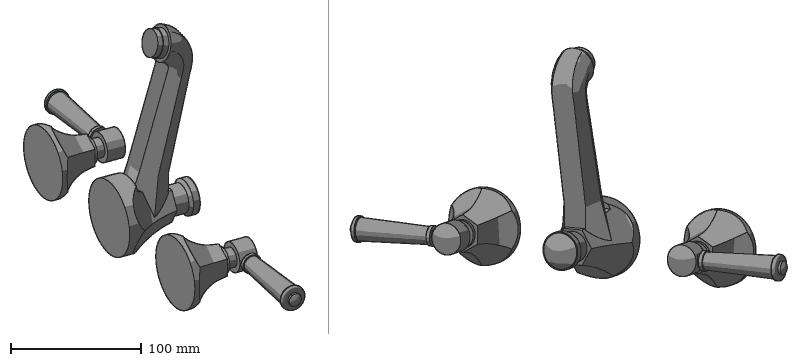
import cadquery as cq
import math


OVERALL_WIDTH = 375.56
OVERALL_REACH = 76.33
HANDLE_SPACING = 203.2

ESCUTCHEON_RADIUS = 30.1
FLARE_START = 8.0
FLARE_MIDDLE = 19.0
FLARE_END = 28.5
ESCUTCHEON_TOP = 38.7
FLARE_WALL_FLAT = 35.6
FLARE_START_FLAT = 24.6
FLARE_MIDDLE_FLAT = 17.6
FLARE_END_FLAT = 14.3
ESCUTCHEON_TOP_FLAT = 12.8

RING_RADIUS = 10.9
RING_TOP = 42.0
STEM_RADIUS = 8.0
HUB_BOTTOM = 50.0
HUB_TOP = 65.8
HUB_RADIUS = 12.4
HUB_DOME_RISE = 2.3

LEVER_TIP = (OVERALL_WIDTH - HANDLE_SPACING) / 2
LEVER_NECK_RADIUS = 5.2
LEVER_COLLAR_START = 14.5
LEVER_COLLAR_END = 17.6
LEVER_COLLAR_RADIUS = 8.0
GRIP_ROOT_RADIUS = 7.0
GRIP_END_RADIUS = 9.2
BEAD_START = 77.9
BEAD_WIDTH = 4.0
BEAD_RADIUS = 10.3
BEAD_ROUND = 1.4
BUTTON_RADIUS = 5.4
BUTTON_LENGTH = 2.0

BASE_RADIUS = 31.5
BASE_FLARE_START = 6.3
BASE_MIDDLE = 27.5
BASE_TOP = 51.0
BASE_FLARE_START_FLAT = 31.9
BASE_MIDDLE_FLAT = 20.2
BASE_TOP_FLAT = 13.8
SHELF_DEPTH = 16.8

KNOB_NECK_RADIUS = 12.2
KNOB_NECK_END = 63.5
KNOB_RIM_START = 66.0
KNOB_RIM_END = 72.0
KNOB_RADIUS = 15.0
KNOB_DOME_RADIUS = 14.2

ARM_LEAN = 15.1
ARM_BOTTOM_Y = 34.3
ARM_BOTTOM_Z = 34.6
ARM_LENGTH = 82.0
ARM_BOTTOM_HALF_WIDTH = 15.8
ARM_BOTTOM_HALF_DEPTH = 14.0
ARM_TOP_HALF_WIDTH = 14.2
ARM_TOP_HALF_DEPTH = 11.0
ARM_EDGE_X = 9.1
ARM_BULGE = 0.5
FOOT_Y = 27.2
FOOT_HALF_WIDTH = 22.0
FOOT_HALF_DEPTH = 20.5

ELBOW_LEAD = 5.9
ELBOW_BEND_RADIUS = 17.0
ELBOW_STEPS = 4
ELBOW_END_RADIUS = 14.9
NOZZLE_RADIUS = 12.0
NOZZLE_LENGTH = 5.0
AERATOR_RADIUS = 11.2
AERATOR_LENGTH = 4.6


def disc(radius, start, end):
    """Cylinder about the Y axis between two distances from the wall."""
    return cq.Workplane("XZ", origin=(0, start, 0)).circle(radius).extrude(start - end)


def flared_disc(prism, radius, height, angles):
    """Trim a disc with turned copies of a flared prism, each giving two opposite flats.

    Angle 0 gives flats facing +X and -X, and three angles 60 degrees apart give a hexagon.
    """
    flare = disc(radius, 0, height)
    for angle in angles:
        flare = flare.intersect(prism.rotate((0, 0, 0), (0, 1, 0), angle))
    return flare


def dome_height(radius, rise):
    """Height of a spherical dome halfway between its rim and its axis."""
    sphere_radius = (radius**2 + rise**2) / (2 * rise)
    return rise - sphere_radius + math.sqrt(sphere_radius**2 - (radius / 2) ** 2)


def handle_escutcheon():
    half_outline = (
        cq.Workplane("XY")
        .lineTo(FLARE_WALL_FLAT, 0)
        .lineTo(FLARE_START_FLAT, FLARE_START)
        .threePointArc((FLARE_MIDDLE_FLAT, FLARE_MIDDLE), (FLARE_END_FLAT, FLARE_END))
        .lineTo(ESCUTCHEON_TOP_FLAT, ESCUTCHEON_TOP)
        .lineTo(0, ESCUTCHEON_TOP)
    )
    prism = half_outline.mirrorY().extrude(2 * ESCUTCHEON_RADIUS, both=True)
    return flared_disc(prism, ESCUTCHEON_RADIUS, ESCUTCHEON_TOP, (0, 60, 120))


def handle_hub():
    dome_top = HUB_TOP + HUB_DOME_RISE
    dome_mid = (HUB_RADIUS / 2, HUB_TOP + dome_height(HUB_RADIUS, HUB_DOME_RISE))
    return (
        cq.Workplane("XY")
        .moveTo(0, FLARE_END)
        .lineTo(RING_RADIUS, FLARE_END)
        .lineTo(RING_RADIUS, RING_TOP)
        .lineTo(STEM_RADIUS, RING_TOP)
        .lineTo(STEM_RADIUS, HUB_BOTTOM)
        .lineTo(HUB_RADIUS, HUB_BOTTOM)
        .lineTo(HUB_RADIUS, HUB_TOP)
        .threePointArc(dome_mid, (0, dome_top))
        .close()
        .revolve(360, (0, 0, 0), (0, 1, 0))
    )


def lever():
    """Lever along +X from the hub, drawn as a half outline turned about its own axis."""
    bead_end = BEAD_START + BEAD_WIDTH
    button_start = bead_end + BUTTON_LENGTH
    button_rise = LEVER_TIP - button_start
    button_mid = (button_start + dome_height(BUTTON_RADIUS, button_rise), BUTTON_RADIUS / 2)
    solid = (
        cq.Workplane("XY")
        .lineTo(0, LEVER_NECK_RADIUS)
        .lineTo(LEVER_COLLAR_START, LEVER_NECK_RADIUS)
        .lineTo(LEVER_COLLAR_START, LEVER_COLLAR_RADIUS)
        .lineTo(LEVER_COLLAR_END, LEVER_COLLAR_RADIUS)
        .lineTo(LEVER_COLLAR_END, GRIP_ROOT_RADIUS)
        .lineTo(BEAD_START, GRIP_END_RADIUS)
        .lineTo(BEAD_START, BEAD_RADIUS - BEAD_ROUND / 2)
        .lineTo(BEAD_START + BEAD_ROUND / 2, BEAD_RADIUS)
        .lineTo(bead_end - BEAD_ROUND, BEAD_RADIUS)
        .radiusArc((bead_end, BEAD_RADIUS - BEAD_ROUND), BEAD_ROUND)
        .lineTo(bead_end, BUTTON_RADIUS)
        .lineTo(button_start, BUTTON_RADIUS)
        .threePointArc(button_mid, (LEVER_TIP, 0))
        .close()
        .revolve(360, (0, 0, 0), (1, 0, 0))
    )
    return solid.translate((0, (HUB_BOTTOM + HUB_TOP) / 2, 0))


def handle(side):
    """One handle; side is +1 for the lever pointing to +X and -1 for -X."""
    body = handle_escutcheon().union(handle_hub()).union(lever())
    if side < 0:
        body = body.mirror("YZ")
    return body.translate((side * HANDLE_SPACING / 2, 0, 0))


def spout_base():
    half_outline = (
        cq.Workplane("XY")
        .lineTo(BASE_FLARE_START_FLAT, 0)
        .lineTo(BASE_FLARE_START_FLAT, BASE_FLARE_START)
        .threePointArc((BASE_MIDDLE_FLAT, BASE_MIDDLE), (BASE_TOP_FLAT, BASE_TOP))
        .lineTo(0, BASE_TOP)
    )
    prism = half_outline.mirrorY().extrude(2 * BASE_RADIUS, both=True)
    shelf = cq.Workplane("XY").box(
        2 * BASE_RADIUS, SHELF_DEPTH, BASE_RADIUS, centered=(True, False, False)
    )
    flat_top_and_bottom = prism.rotate((0, 0, 0), (0, 1, 0), 90).union(shelf)
    return flared_disc(prism, BASE_RADIUS, BASE_TOP, (30, 150)).intersect(flat_top_and_bottom)


def spout_knob():
    dome_rise = OVERALL_REACH - KNOB_RIM_END
    dome_mid = (KNOB_DOME_RADIUS / 2, KNOB_RIM_END + dome_height(KNOB_DOME_RADIUS, dome_rise))
    return (
        cq.Workplane("XY")
        .moveTo(0, BASE_MIDDLE)
        .lineTo(KNOB_NECK_RADIUS, BASE_MIDDLE)
        .lineTo(KNOB_NECK_RADIUS, KNOB_NECK_END)
        .lineTo(KNOB_RADIUS, KNOB_RIM_START)
        .lineTo(KNOB_RADIUS, KNOB_RIM_END)
        .lineTo(KNOB_DOME_RADIUS, KNOB_RIM_END)
        .threePointArc(dome_mid, (0, OVERALL_REACH))
        .close()
        .revolve(360, (0, 0, 0), (0, 1, 0))
    )


def section_plane(y, z, lean):
    """Plane across the arm, its normal leaning from +Z towards +Y by `lean` degrees."""
    angle = math.radians(lean)
    normal = (0, math.sin(angle), math.cos(angle))
    return cq.Plane(origin=(0, y, z), xDir=(1, 0, 0), normal=normal)


def arm_section(plane, half_width, half_depth, edge_x, bulge):
    """Six-sided outline whose sides bow outwards by `bulge`."""
    edge_y = half_depth - bulge
    corners = [
        (half_width, 0),
        (edge_x, edge_y),
        (-edge_x, edge_y),
        (-half_width, 0),
        (-edge_x, -edge_y),
        (edge_x, -edge_y),
    ]
    outline = cq.Workplane(plane).moveTo(*corners[0])
    for start, end in zip(corners, corners[1:] + corners[:1]):
        middle = ((start[0] + end[0]) / 2, (start[1] + end[1]) / 2)
        stretch = 1 + bulge / math.hypot(*middle)
        outline = outline.threePointArc((middle[0] * stretch, middle[1] * stretch), end)
    return outline.close().val()


def along(point, lean, distance):
    """Point in the YZ plane moved along a direction leaning from +Z towards +Y."""
    angle = math.radians(lean)
    return (point[0] + distance * math.sin(angle), point[1] + distance * math.cos(angle))


def blend(start, end, fraction):
    return start + (end - start) * fraction


ARM_BOTTOM = (ARM_BOTTOM_Y, ARM_BOTTOM_Z)
ARM_TOP = along(ARM_BOTTOM, ARM_LEAN, ARM_LENGTH)
NOZZLE_LEAN = ARM_LEAN - 90
BEND_START = along(ARM_TOP, ARM_LEAN, ELBOW_LEAD)
BEND_CENTRE = along(BEND_START, NOZZLE_LEAN, ELBOW_BEND_RADIUS)
ELBOW_END = along(BEND_CENTRE, ARM_LEAN, ELBOW_BEND_RADIUS)


def top_section(point, lean, growth):
    """Elbow section: the arm's top outline at growth 0, a full circle at growth 1."""
    circle_edge_x = ELBOW_END_RADIUS * math.cos(math.radians(60))
    circle_bulge = ELBOW_END_RADIUS * (1 - math.cos(math.radians(30)))
    edge_x = blend(ARM_EDGE_X, circle_edge_x, growth)
    bulge = blend(ARM_BULGE, circle_bulge, growth)
    half_width = blend(ARM_TOP_HALF_WIDTH, ELBOW_END_RADIUS, growth)
    half_depth = blend(ARM_TOP_HALF_DEPTH, ELBOW_END_RADIUS, growth)
    return arm_section(section_plane(*point, lean), half_width, half_depth, edge_x, bulge)


def spout_arm():
    bottom = arm_section(
        section_plane(*ARM_BOTTOM, ARM_LEAN),
        ARM_BOTTOM_HALF_WIDTH, ARM_BOTTOM_HALF_DEPTH, ARM_EDGE_X, ARM_BULGE,
    )
    foot = arm_section(
        section_plane(FOOT_Y, 0, 0),
        FOOT_HALF_WIDTH, FOOT_HALF_DEPTH, ARM_EDGE_X, ARM_BULGE,
    )
    top = top_section(ARM_TOP, ARM_LEAN, 0)
    elbow_sections = [top]
    for step in range(ELBOW_STEPS + 1):
        fraction = step / ELBOW_STEPS
        lean = ARM_LEAN - 90 * fraction
        point = along(BEND_CENTRE, lean + 90, ELBOW_BEND_RADIUS)
        elbow_sections.append(top_section(point, lean, fraction))
    foot_solid = cq.Solid.makeLoft([foot, bottom], True)
    arm_solid = cq.Solid.makeLoft([bottom, top], True)
    elbow_solid = cq.Solid.makeLoft(elbow_sections)
    return cq.Workplane(foot_solid).union(cq.Workplane(arm_solid)).union(cq.Workplane(elbow_solid))


def spout_nozzle():
    outlet = cq.Workplane(section_plane(*ELBOW_END, NOZZLE_LEAN))
    nozzle = outlet.circle(NOZZLE_RADIUS).extrude(NOZZLE_LENGTH)
    aerator = outlet.circle(AERATOR_RADIUS).extrude(NOZZLE_LENGTH + AERATOR_LENGTH)
    return nozzle.union(aerator)


def spout():
    return spout_base().union(spout_knob()).union(spout_arm()).union(spout_nozzle())


handles = [handle(side) for side in (-1, 1)]
result = cq.Compound.makeCompound([spout().val(), *[body.val() for body in handles]])